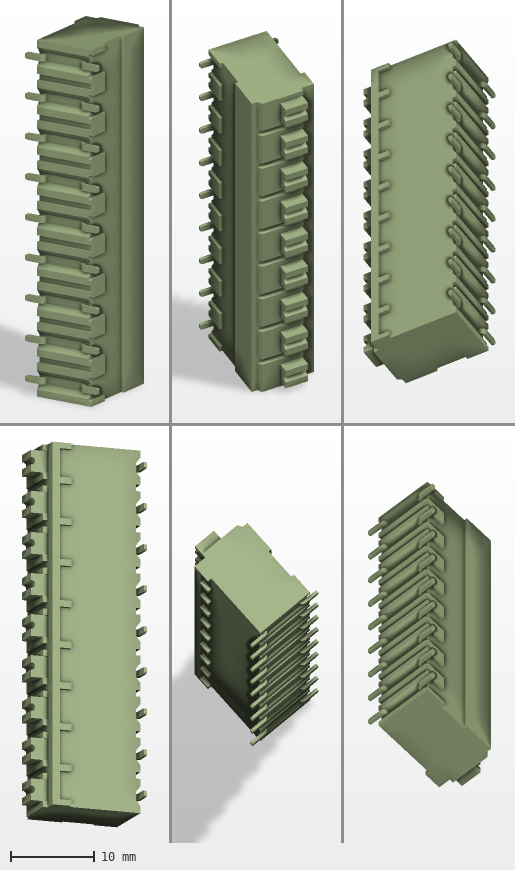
import cadquery as cq

LENGTH = 44.85
CELLS = 9
FIRST_CELL_Z = 2.1
PITCH = (LENGTH - 2 * FIRST_CELL_Z) / (CELLS - 1)
cell_centres = [FIRST_CELL_Z + i * PITCH for i in range(CELLS)]
cell_borders = [z + PITCH / 2 for z in cell_centres[:-1]]

LEFT = -3.7
RIGHT = 4.13
FRONT_Y = 0.25
SHELF_Y = 11.8
RIDGE_Y = 12.38
RIDGE_LEFT = -2.55
RIDGE_RIGHT = 3.0
RIDGE_BASE_RIGHT = 3.35
RECESS_X = 3.7
RECESS_Y0 = 3.25
RECESS_Y1 = 7.4

LIP_LEFT = -4.25
LIP_Y = 10.8
FINGER_Y = 9.33
END_FINGER_WIDTH = 0.7

SLOT_WIDTH = 0.8
FRONT_CUT_Y = 0.8
VALLEY_FLOOR_WIDTH = 1.08
VALLEY_MOUTH_WIDTH = 2.4
POCKET_WIDTH = 2.7
POCKET_FLARE = 0.2

TAB_LEFT = -2.4
TAB_RIGHT = 0.6
TAB_END_Y = 13.85
TAB_WIDTH = 2.7
NOTCH_RADIUS = 0.45
NOTCH_DEPTH = 0.55
WINDOW_FLARE = 0.15

PIN_TIP_X = 5.25
PIN_INNER_X = 2.6
PIN_THICKNESS = 0.4
PIN_WIDTH = 0.8
BEND_RADIUS = 0.6
PIN_TIP_TAPER = 0.15
PIN_TIP_LENGTH = 0.25
PIN_ROOT_DEPTH = 0.22


def box(x0, x1, y0, y1, z0, z1):
    return cq.Workplane("XY").box(x1 - x0, y1 - y0, z1 - z0, centered=False).translate((x0, y0, z0))


def prism_along_x(points, x0, x1):
    return cq.Workplane("YZ", origin=(x0, 0, 0)).polyline(points).close().extrude(x1 - x0)


def make_housing():
    outline = [
        (LEFT, FRONT_Y),
        (RIGHT, FRONT_Y),
        (RIGHT, RECESS_Y0),
        (RECESS_X, RECESS_Y0),
        (RECESS_X, RECESS_Y1),
        (RIGHT, RECESS_Y1),
        (RIGHT, SHELF_Y),
        (RIDGE_BASE_RIGHT, SHELF_Y),
        (RIDGE_RIGHT, RIDGE_Y),
        (RIDGE_LEFT, RIDGE_Y),
        (RIDGE_LEFT, SHELF_Y),
        (LEFT, SHELF_Y),
    ]
    return cq.Workplane("XY").polyline(outline).close().extrude(LENGTH)


def make_lip():
    lip = box(LIP_LEFT, LEFT, LIP_Y, SHELF_Y, 0, LENGTH)
    spans = [(z - SLOT_WIDTH / 2, z + SLOT_WIDTH / 2) for z in cell_borders]
    spans += [(0, END_FINGER_WIDTH), (LENGTH - END_FINGER_WIDTH, LENGTH)]
    for z0, z1 in spans:
        lip = lip.union(box(LIP_LEFT, LEFT, FINGER_Y, LIP_Y, z0, z1))
    return lip


def make_border_slots(z):
    """Slots across the front face and across the rear ridge at a cell border."""
    z0 = z - SLOT_WIDTH / 2
    z1 = z + SLOT_WIDTH / 2
    front = box(LEFT, RIGHT, 0, FRONT_CUT_Y, z0, z1)
    rear = box(LEFT, RIGHT, SHELF_Y, RIDGE_Y, z0, z1)
    return front.union(rear)


def make_valley(z):
    """Valley with sloped sides across the front of a cell."""
    half_mouth = VALLEY_MOUTH_WIDTH / 2
    half_floor = VALLEY_FLOOR_WIDTH / 2
    profile = [
        (FRONT_Y, z - half_mouth),
        (FRONT_CUT_Y, z - half_floor),
        (FRONT_CUT_Y, z + half_floor),
        (FRONT_Y, z + half_mouth),
    ]
    return prism_along_x(profile, LEFT, RIGHT)


def make_side_pocket(z):
    """Pocket in the right side, flared at the front and running back to the side recess."""
    half = POCKET_WIDTH / 2
    flare_y = FRONT_Y + POCKET_FLARE
    profile = [
        (FRONT_Y, z - half - POCKET_FLARE),
        (flare_y, z - half),
        (RECESS_Y0, z - half),
        (RECESS_Y0, z + half),
        (flare_y, z + half),
        (FRONT_Y, z + half + POCKET_FLARE),
    ]
    return prism_along_x(profile, RECESS_X, RIGHT)


def make_ridge_window(z):
    """Opening in the left wall of the ridge that exposes the tab, flared at the rear."""
    half = TAB_WIDTH / 2
    flare_y = RIDGE_Y - WINDOW_FLARE
    profile = [
        (SHELF_Y, z - half),
        (flare_y, z - half),
        (RIDGE_Y, z - half - WINDOW_FLARE),
        (RIDGE_Y, z + half + WINDOW_FLARE),
        (flare_y, z + half),
        (SHELF_Y, z + half),
    ]
    return prism_along_x(profile, RIDGE_LEFT, TAB_LEFT)


def make_tab(z):
    tab = box(TAB_LEFT, TAB_RIGHT, SHELF_Y, TAB_END_Y, z - TAB_WIDTH / 2, z + TAB_WIDTH / 2)
    notch_centre_y = TAB_END_Y - NOTCH_DEPTH + NOTCH_RADIUS
    notch = (
        cq.Workplane("YZ", origin=(TAB_LEFT, 0, 0))
        .moveTo(notch_centre_y, z)
        .circle(NOTCH_RADIUS)
        .extrude(TAB_RIGHT - TAB_LEFT)
    )
    return tab.cut(notch)


def make_pin(z):
    """Pin on the right side, rooted in the housing, bent towards +X, with a tip that narrows in Z."""
    root_y = FRONT_CUT_Y + PIN_ROOT_DEPTH
    leg_outer_x = PIN_INNER_X + PIN_THICKNESS
    pin = (
        cq.Workplane("XY", origin=(0, 0, -PIN_WIDTH / 2))
        .moveTo(PIN_INNER_X, root_y)
        .lineTo(PIN_INNER_X, BEND_RADIUS)
        .radiusArc((PIN_INNER_X + BEND_RADIUS, 0), -BEND_RADIUS)
        .lineTo(PIN_TIP_X, 0)
        .lineTo(PIN_TIP_X, PIN_THICKNESS)
        .lineTo(PIN_INNER_X + BEND_RADIUS, PIN_THICKNESS)
        .radiusArc((leg_outer_x, BEND_RADIUS), BEND_RADIUS - PIN_THICKNESS)
        .lineTo(leg_outer_x, root_y)
        .close()
        .extrude(PIN_WIDTH)
    )
    half_width = PIN_WIDTH / 2
    tip_corner = cq.Workplane("XZ").polyline(
        [
            (PIN_TIP_X - PIN_TIP_LENGTH, half_width),
            (PIN_TIP_X, half_width),
            (PIN_TIP_X, half_width - PIN_TIP_TAPER),
        ]
    )
    upper_cut = tip_corner.close().extrude(-PIN_THICKNESS)
    lower_cut = upper_cut.mirror("XY")
    return pin.cut(upper_cut).cut(lower_cut).translate((0, 0, z))


housing = make_housing().union(make_lip())
for border_z in cell_borders:
    housing = housing.cut(make_border_slots(border_z))
for cell_z in cell_centres:
    pin = make_pin(cell_z)
    for make_cut in (make_valley, make_side_pocket, make_ridge_window):
        housing = housing.cut(make_cut(cell_z))
    housing = housing.union(make_tab(cell_z)).union(pin).union(pin.mirror("YZ"))

result = housing